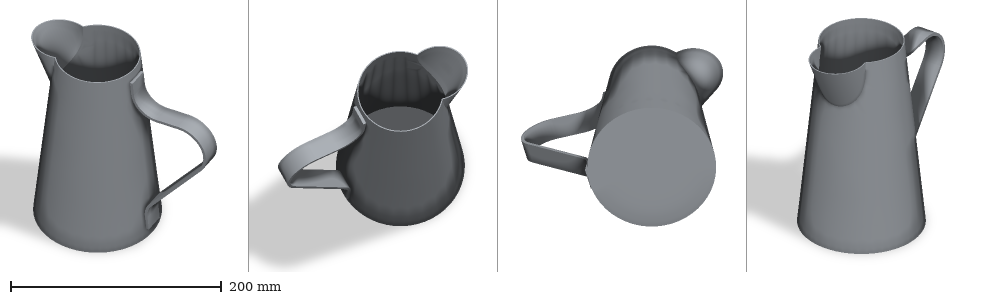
import cadquery as cq
import math

height = 200.0
base_outer_radius = 61.2
rim_outer_radius = 41.0
sheet = 1.0
base_inner_radius = base_outer_radius - sheet
rim_inner_radius = rim_outer_radius - sheet
wall_slope = (base_outer_radius - rim_outer_radius) / height

spout_radius = 27.0
spout_tilt = 25.8
spout_tip_x = -69.6
spout_axis_x = spout_tip_x + spout_radius / math.cos(math.radians(spout_tilt))
spout_reach = 120.0

strip_width = 20.0
strip_thickness = 3.0
handle_top_z = 190.3
handle_bottom_z = 11.5
upper_tab = 14.5
grip_top = 25.0
root_bend_radius = 23.6
grip_bend_radius = 26.6
foot_bend_radius = 23.6
return_angle = 43.3


def cone(base_radius, top_radius, cone_height):
    """Solid truncated cone standing on the XY plane."""
    return cq.Workplane(cq.Solid.makeCone(base_radius, top_radius, cone_height))


def spout_cylinder(radius):
    """Long slanted cylinder on the spout axis."""
    tilt = math.radians(spout_tilt)
    direction = cq.Vector(-math.sin(tilt), 0, math.cos(tilt))
    start = cq.Vector(spout_axis_x, 0, height) - direction * spout_reach
    return cq.Workplane(cq.Solid.makeCylinder(radius, 2 * spout_reach, start, direction))


def spout_side():
    """Block filling the -X side below the rim plane."""
    corner = cq.Vector(-height, -height / 2, 0)
    return cq.Workplane(cq.Solid.makeBox(height, height, height, corner))


def make_wall():
    shell = cone(base_outer_radius, rim_outer_radius, height).cut(
        cone(base_inner_radius, rim_inner_radius, height)
    )
    mouth = spout_cylinder(spout_radius).intersect(spout_side())
    return shell.cut(mouth)


def make_floor():
    """Disc inside the foot of the wall, its rim tapered to match."""
    return cone(base_inner_radius, base_inner_radius - wall_slope * sheet, sheet)


def make_spout():
    tube = spout_cylinder(spout_radius).cut(spout_cylinder(spout_radius - sheet))
    return tube.intersect(spout_side()).cut(cone(base_inner_radius, rim_inner_radius, height))


def make_handle():
    wall_angle = math.atan(wall_slope)
    beta = math.radians(return_angle)
    half = strip_thickness / 2

    def place(down, out):
        x = rim_outer_radius + wall_slope * (height - handle_top_z)
        x += down * math.sin(wall_angle) + out * math.cos(wall_angle)
        z = handle_top_z - down * math.cos(wall_angle) + out * math.sin(wall_angle)
        return x, z

    root_centre = (upper_tab, half + root_bend_radius)
    grip_start_out = root_centre[1] + grip_top
    grip_centre = (upper_tab + root_bend_radius + grip_bend_radius, grip_start_out)
    foot_out = half + foot_bend_radius
    return_leg = (
        grip_start_out - foot_out + (grip_bend_radius + foot_bend_radius) * math.cos(beta)
    ) / math.sin(beta)
    foot_centre_down = (
        grip_centre[0]
        + (grip_bend_radius + foot_bend_radius) * math.sin(beta)
        + return_leg * math.cos(beta)
    )
    foot_centre = (foot_centre_down, foot_out)
    strip_end = (handle_top_z - handle_bottom_z) / math.cos(wall_angle)

    def on_bend(centre, radius, angle):
        """Point on a bend; the angle runs from 'down' towards 'out'."""
        return place(centre[0] + radius * math.cos(angle), centre[1] + radius * math.sin(angle))

    def side(offset):
        """Start, bend arcs and end of the strip edge lying at an offset towards the outside."""
        root = root_bend_radius - offset
        grip = grip_bend_radius + offset
        foot = foot_bend_radius - offset
        leg_angle = math.pi / 2 - beta
        bends = [
            (root_centre, root, -math.pi / 2, 0),
            (grip_centre, grip, math.pi, leg_angle),
            (foot_centre, foot, leg_angle - math.pi, -math.pi / 2),
        ]
        arcs = [
            [on_bend(centre, radius, a) for a in (first, (first + last) / 2, last)]
            for centre, radius, first, last in bends
        ]
        return place(0, half + offset), arcs, place(strip_end, half + offset)

    outer_start, outer_arcs, outer_end = side(half)
    inner_start, inner_arcs, inner_end = side(-half)

    outline = cq.Workplane("XZ").moveTo(*outer_start)
    for first, middle, last in outer_arcs:
        outline = outline.lineTo(*first).threePointArc(middle, last)
    outline = outline.lineTo(*outer_end).lineTo(*inner_end)
    for first, middle, last in reversed(inner_arcs):
        outline = outline.lineTo(*last).threePointArc(middle, first)
    outline = outline.lineTo(*inner_start).close()
    return outline.extrude(strip_width / 2, both=True)


wall = make_wall()
floor = make_floor()
spout = make_spout()
handle = make_handle()
result = cq.Compound.makeCompound([wall.val(), floor.val(), spout.val(), handle.val()])